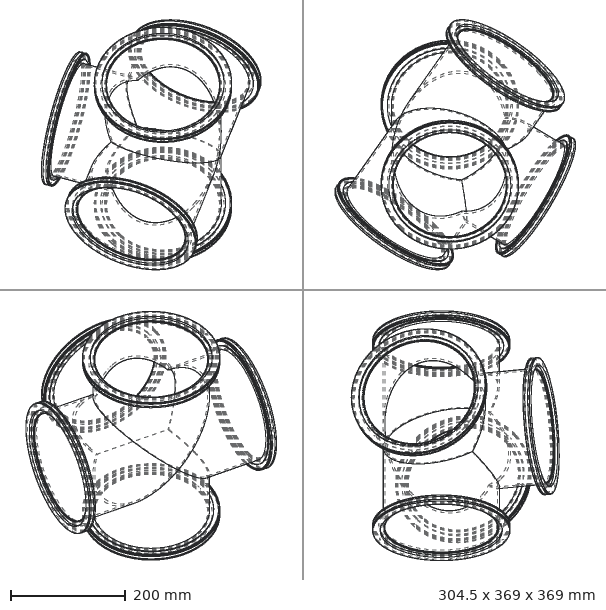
import cadquery as cq

REACH = 184.5

TUBE_OD = 203.2
TUBE_ID = 197.0

FLANGE_OD = 240.0
FLANGE_BORE = 200.0
SOCKET_DIA = 204.0
TUBE_SETBACK = 6.5
RECESS_DIA = 213.0
RECESS_DEPTH = 4.5
RIM_GROOVE_BOTTOM_DIA = 235.0
RIM_LAND = 3.43
RIM_CHAMFER = 0.5
BACK_GROOVE_OD = 235.0
BACK_GROOVE_ID = 218.5
BACK_GROOVE_DEPTH = 2.0

RIM_GROOVE_RADIUS = (FLANGE_OD - RIM_GROOVE_BOTTOM_DIA) / 2
FLANGE_THICKNESS = 2 * (RIM_LAND + RIM_GROOVE_RADIUS)
FLANGE_BACK = REACH - FLANGE_THICKNESS
TUBE_END = REACH - TUBE_SETBACK

Y_AXIS = (0, 1, 0)
X_AXIS = (1, 0, 0)
ORIGIN = (0, 0, 0)


def disc(diameter, bottom, top):
    """Solid cylinder on the Z axis between two heights."""
    return cq.Workplane("XY").workplane(offset=bottom).circle(diameter / 2).extrude(top - bottom)


def ring(outer, inner, bottom, top):
    """Cylindrical ring on the Z axis between two heights."""
    return disc(outer, bottom, top).cut(disc(inner, bottom, top))


def mitre_prism(plane, left_edge, right_edge):
    """Triangular prism with its tip line through the origin, widening along +Z to the two edges."""
    outline = [(0, 0), (right_edge, REACH), (left_edge, REACH)]
    return cq.Workplane(plane).polyline(outline).close().extrude(REACH, both=True)


def four_way_arm():
    """Arm along +Z with a 45 degree mitre on all four sides."""
    tube = ring(TUBE_OD, TUBE_ID, 0, TUBE_END)
    tube = tube.intersect(mitre_prism("YZ", -REACH, REACH))
    return tube.intersect(mitre_prism("XZ", -REACH, REACH))


def three_way_arm():
    """Arm along +Z mitred toward -X, -Y and +Y, where neighbouring arms meet it."""
    tube = ring(TUBE_OD, TUBE_ID, 0, TUBE_END)
    tube = tube.intersect(mitre_prism("YZ", -REACH, REACH))
    open_side = cq.Workplane("XY").box(REACH, 2 * REACH, REACH, centered=(False, True, False))
    return tube.intersect(mitre_prism("XZ", -REACH, 0).union(open_side))


def flange():
    """Flange at the end of an arm along +Z, with its sealing face up."""
    body = disc(FLANGE_OD, FLANGE_BACK, REACH).edges("%CIRCLE").chamfer(RIM_CHAMFER)
    body = body.cut(disc(FLANGE_BORE, FLANGE_BACK, REACH))
    body = body.cut(disc(SOCKET_DIA, FLANGE_BACK, TUBE_END))
    body = body.cut(disc(RECESS_DIA, REACH - RECESS_DEPTH, REACH))
    groove_floor = FLANGE_BACK + BACK_GROOVE_DEPTH
    body = body.cut(ring(BACK_GROOVE_OD, BACK_GROOVE_ID, FLANGE_BACK, groove_floor))
    rim_groove = cq.Solid.makeTorus(
        FLANGE_OD / 2,
        RIM_GROOVE_RADIUS,
        cq.Vector(0, 0, REACH - FLANGE_THICKNESS / 2),
    )
    return body.cut(cq.Workplane(rim_groove))


def turned_to_minus_x(body):
    """Turn a body from the +Z arm onto the -X arm."""
    return body.rotate(ORIGIN, Y_AXIS, -90)


side_arm = turned_to_minus_x(four_way_arm())
side_flange = turned_to_minus_x(flange())

cross_arms = []
cross_flanges = []
for quarter in range(4):
    angle = 90 * quarter
    cross_arms.append(three_way_arm().rotate(ORIGIN, X_AXIS, angle))
    cross_flanges.append(flange().rotate(ORIGIN, X_AXIS, angle))

bodies = [side_arm, side_flange] + cross_arms + cross_flanges
result = cq.Compound.makeCompound([body.solids().val() for body in bodies])